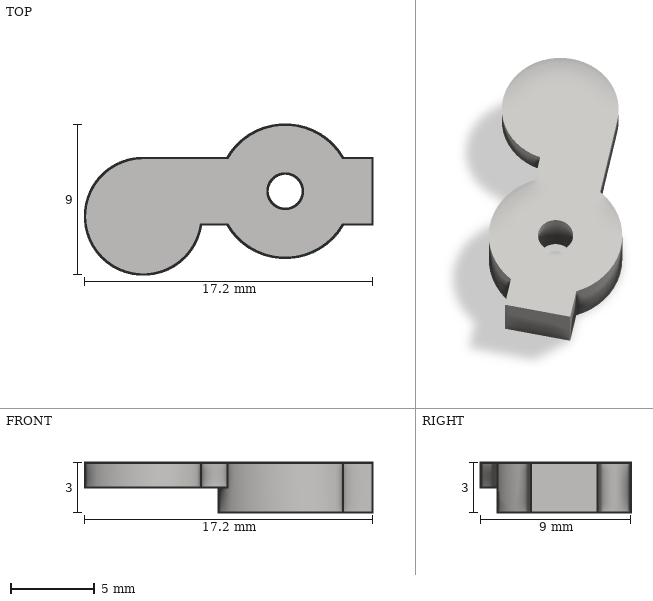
import cadquery as cq

length = 17.25
thickness = 3.0
arm_thickness = thickness / 2
hub_radius = 4.0
head_radius = 3.5
bar_width = 4.0
hub_to_head = 8.5
hole_diameter = 2.1

head_x = -hub_to_head
head_y = bar_width / 2 - head_radius
tab_end_x = length - hub_to_head - head_radius
arm_bottom_z = thickness - arm_thickness


def disc(x, y, radius, bottom_z, height):
    """Upright cylinder centred on (x, y)."""
    return cq.Workplane("XY", origin=(x, y, bottom_z)).circle(radius).extrude(height)


def bar(start_x, end_x, bottom_z, height):
    """Straight bar along X, centred on the hub axis in Y."""
    plane = cq.Workplane("XY", origin=((start_x + end_x) / 2, 0, bottom_z))
    return plane.rect(end_x - start_x, bar_width).extrude(height)


hub = disc(0, 0, hub_radius, 0, thickness)
tab = bar(0, tab_end_x, 0, thickness)

head = disc(head_x, head_y, head_radius, arm_bottom_z, arm_thickness)
arm = bar(head_x, 0, arm_bottom_z, arm_thickness)

hole = disc(0, 0, hole_diameter / 2, 0, thickness)

result = hub.union(tab).union(head).union(arm).cut(hole)